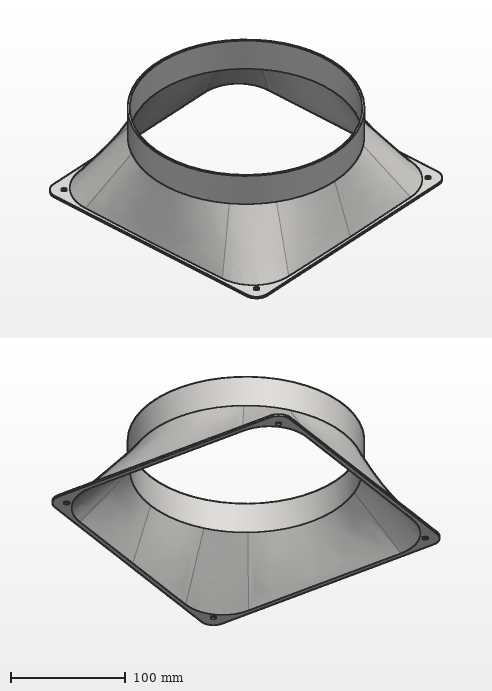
import cadquery as cq

flange_side = 250.0
flange_thickness = 2.0
flange_corner_radius = 12.5
hole_spacing = 225.0
hole_diameter = 5.0

total_height = 83.0
collar_height = 30.0
collar_diameter = 207.0
wall = 2.0

base_side = 245.0
base_corner_radius = 41.5
collar_bottom = total_height - collar_height


def rounded_square(side, radius):
    """Closed rounded-square sketch centred on the origin."""
    return cq.Sketch().rect(side, side).vertices().fillet(radius)


def duct(inset):
    """Solid transition plus collar, with its sides moved inward by inset."""
    diameter = collar_diameter - 2 * inset
    base = rounded_square(base_side - 2 * inset, base_corner_radius - inset)
    rim = cq.Sketch().circle(diameter / 2)
    transition = (
        cq.Workplane("XY")
        .placeSketch(base, rim.moved(cq.Location(cq.Vector(0, 0, collar_bottom))))
        .loft(ruled=True)
    )
    collar = cq.Workplane("XY", origin=(0, 0, collar_bottom)).circle(diameter / 2).extrude(collar_height)
    return transition.union(collar)


flange = (
    cq.Workplane("XY")
    .placeSketch(rounded_square(flange_side, flange_corner_radius))
    .extrude(flange_thickness)
    .faces(">Z")
    .workplane()
    .rect(hole_spacing, hole_spacing, forConstruction=True)
    .vertices()
    .hole(hole_diameter)
)

result = flange.union(duct(0)).cut(duct(wall))